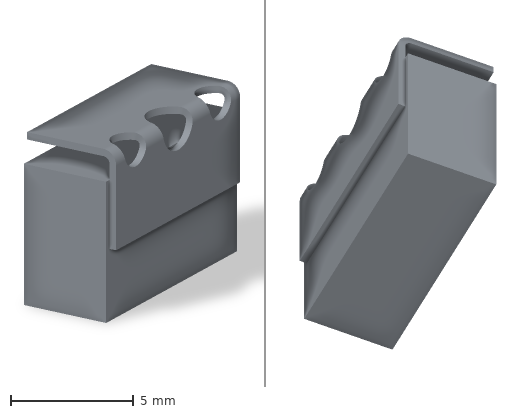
import math

import cadquery as cq

plate_thickness = 0.32
plate_reach = 4.3
plate_length = 9.5
bend_outer_radius = 0.6
overall_height = 7.45
body_length = 10.0
body_height = 6.15

hole_spacing = 3.25
small_hole_radius = 0.86
large_hole_radius = 1.16
holes = [
    (-hole_spacing, small_hole_radius),
    (0, large_hole_radius),
    (hole_spacing, small_hole_radius),
]
bend_sections = 7
bend_overcut = 0.1

body_width = plate_reach - plate_thickness
leg_bottom = overall_height - plate_reach
plate_underside = overall_height - plate_thickness

bend_inner_radius = bend_outer_radius - plate_thickness
bend_axis_x = plate_reach - bend_outer_radius
bend_axis_z = overall_height - bend_outer_radius
neutral_radius = (bend_inner_radius + bend_outer_radius) / 2
half_bend_angle = math.pi / 4
half_bend_length = neutral_radius * half_bend_angle


def make_body():
    return cq.Workplane("XY").box(body_width, body_length, body_height, centered=(False, True, False))


def make_bent_plate():
    """L-shaped sheet: a level leg over the body and an upright leg against its side."""
    profile = (
        cq.Workplane("XZ")
        .moveTo(0, overall_height)
        .lineTo(bend_axis_x, overall_height)
        .tangentArcPoint((plate_reach, bend_axis_z), relative=False)
        .lineTo(plate_reach, leg_bottom)
        .lineTo(body_width, leg_bottom)
        .lineTo(body_width, bend_axis_z)
        .tangentArcPoint((bend_axis_x, plate_underside), relative=False)
        .lineTo(0, plate_underside)
        .close()
    )
    return profile.extrude(plate_length / 2, both=True)


def half_width(radius, offset):
    """Half width of a flat round hole at an offset from its centre, measured along the sheet."""
    return math.sqrt(radius**2 - offset**2)


def make_leg_cutter(bend_line_plane, radius):
    """Segment of the hole in a flat leg; the plane's X runs along the bend line, its Y down the leg."""
    chord_half = half_width(radius, half_bend_length)
    return (
        cq.Workplane(bend_line_plane)
        .moveTo(-chord_half, 0)
        .threePointArc((0, radius - half_bend_length), (chord_half, 0))
        .close()
        .extrude(plate_thickness)
    )


def make_bend_section(centre_y, radius, angle):
    """Rectangle across the sheet at an angle from the middle of the bend."""
    half = half_width(radius, neutral_radius * angle)
    turn = half_bend_angle + angle
    inner = bend_inner_radius - bend_overcut
    outer = bend_outer_radius + bend_overcut
    corners = [(inner, -half), (outer, -half), (outer, half), (inner, half)]
    points = [
        cq.Vector(bend_axis_x + r * math.sin(turn), centre_y + y, bend_axis_z + r * math.cos(turn))
        for r, y in corners
    ]
    return cq.Wire.makePolygon(points, close=True)


def make_bend_cutter(centre_y, radius):
    """Middle of the hole, wrapped around the bend with walls square to the sheet."""
    step = 2 * half_bend_angle / (bend_sections - 1)
    sections = [
        make_bend_section(centre_y, radius, -half_bend_angle + i * step)
        for i in range(bend_sections)
    ]
    return cq.Workplane(cq.Solid.makeLoft(sections))


bent_plate = make_bent_plate()
for centre_y, radius in holes:
    level_leg_plane = cq.Plane(
        origin=(bend_axis_x, centre_y, plate_underside), xDir=(0, 1, 0), normal=(0, 0, 1)
    )
    upright_leg_plane = cq.Plane(
        origin=(body_width, centre_y, bend_axis_z), xDir=(0, -1, 0), normal=(1, 0, 0)
    )
    bent_plate = bent_plate.cut(make_leg_cutter(level_leg_plane, radius))
    bent_plate = bent_plate.cut(make_leg_cutter(upright_leg_plane, radius))
    bent_plate = bent_plate.cut(make_bend_cutter(centre_y, radius))

result = make_body().union(bent_plate)